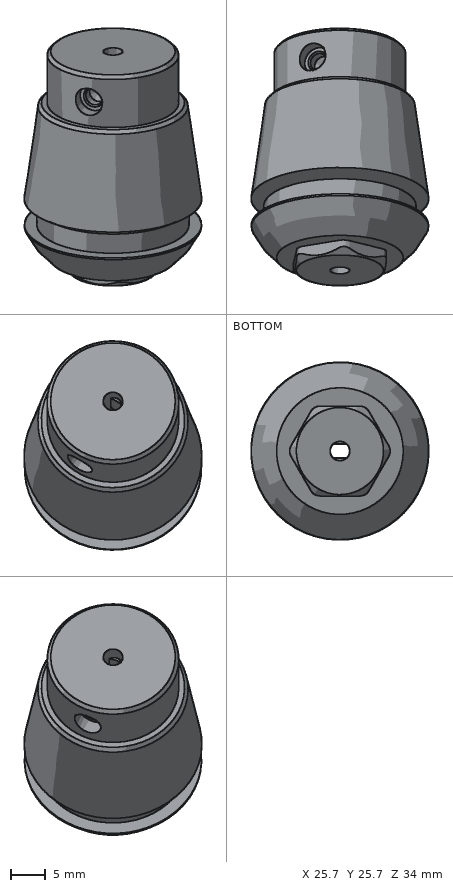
import cadquery as cq
import math

total_height = 34.0
shoulder_z = 26.0
sleeve_rim_z = 11.05
groove_top_z = 10.0
groove_bottom_z = 7.0
flange_rim_z = 6.73
flange_break_z = 4.2
flange_bottom_z = 1.97

neck_radius = 19.0 / 2
sleeve_top_radius = 10.85
sleeve_rim_radius = 25.7 / 2
groove_radius = 22.0 / 2
flange_rim_radius = 25.6 / 2
flange_break_radius = 11.3
flange_bottom_radius = 9.15
edge_chamfer = 0.5
bore_radius = 2.8 / 2

hex_across_flats = 13.0
hex_corner_radius = 1.53
hex_end_radius = 6.3
flange_overlap = 0.35

screw_z = 29.7
screw_radius = 4.15 / 2
screw_head_y = 7.5
screw_tip_y = 1.0
socket_mouth_radius = 1.53
socket_radius = 1.3
socket_bevel = 0.25
socket_depth = 1.7
socket_cone_depth = 0.75


def make_body():
    profile = [
        (0, flange_bottom_z),
        (flange_bottom_radius, flange_bottom_z),
        (flange_break_radius, flange_break_z),
        (flange_rim_radius, flange_rim_z),
        (flange_rim_radius, groove_bottom_z),
        (groove_radius, groove_bottom_z),
        (groove_radius, groove_top_z),
        (sleeve_rim_radius, sleeve_rim_z),
        (sleeve_top_radius, shoulder_z - edge_chamfer),
        (sleeve_top_radius - edge_chamfer, shoulder_z),
        (neck_radius, shoulder_z),
        (neck_radius, total_height - edge_chamfer),
        (neck_radius - edge_chamfer, total_height),
        (0, total_height),
    ]
    return cq.Workplane("XZ").polyline(profile).close().revolve(360, (0, 0), (0, 1))


def make_hexagon():
    across_corners = hex_across_flats / math.cos(math.pi / 6)
    height = flange_bottom_z + flange_overlap
    prism = cq.Workplane("XY").polygon(6, across_corners).extrude(height)
    prism = prism.edges("|Z").fillet(hex_corner_radius)
    chamfer_cone = (
        cq.Workplane("XZ")
        .polyline([(0, 0), (hex_end_radius, 0), (hex_end_radius + height, height), (0, height)])
        .close()
        .revolve(360, (0, 0), (0, 1))
    )
    return prism.intersect(chamfer_cone)


def revolve_on_screw_axis(points):
    """Revolve (distance along -Y, radius) points about the front screw axis."""
    outline = [(-y, screw_z + radius) for y, radius in points]
    return cq.Workplane("YZ").polyline(outline).close().revolve(360, (0, screw_z), (1, screw_z))


def make_screw_recess():
    socket_floor_y = screw_head_y - socket_depth
    return revolve_on_screw_axis([
        (sleeve_rim_radius, 0),
        (sleeve_rim_radius, screw_radius),
        (screw_head_y, screw_radius),
        (screw_head_y, socket_mouth_radius),
        (screw_head_y - socket_bevel, socket_radius),
        (socket_floor_y, socket_radius),
        (socket_floor_y - socket_cone_depth, 0),
    ])


def make_screw_tip():
    tip_end_y = 2 * bore_radius
    return revolve_on_screw_axis([
        (screw_tip_y, 0),
        (screw_tip_y, screw_radius),
        (tip_end_y, screw_radius),
        (tip_end_y, 0),
    ])


bore = cq.Workplane("XY").circle(bore_radius).extrude(total_height)
result = make_body().union(make_hexagon()).cut(bore)

axis_end = (0, 0, 1)
for angle in (0, 180):
    result = result.union(make_screw_tip().rotate((0, 0, 0), axis_end, angle))
    result = result.cut(make_screw_recess().rotate((0, 0, 0), axis_end, angle))